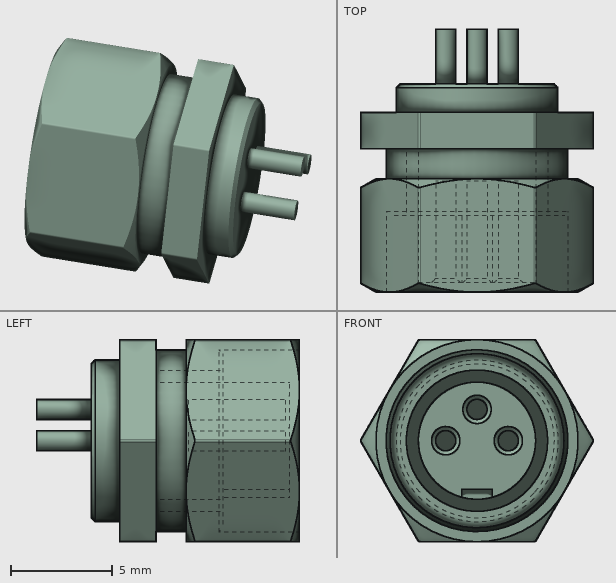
import cadquery as cq
import math


insert_front = 0.5
body_front = 3.8
nut_end = 5.6
flange_front = 7.08
flange_back = 8.89
boss_back = 10.3
pin_tip = 13.0

hex_flats = 10.0
hex_corner_radius = hex_flats / math.sqrt(3)
hex_edge_fillet = 0.13
nut_bevel_angle = 30.0

body_radius = 4.5
recess_radius = 3.5
insert_radius = 2.9
boss_radius = 4.0
rim_chamfer = 0.2

contact_offset = 1.55
contact_radius = 1.0 / 2
countersink_radius = 0.7
socket_depth = 5.0
contact_points = [(0, contact_offset), (-contact_offset, 0), (contact_offset, 0)]

key_width = 1.51
key_floor = 2.4


def section_plane(y):
    """Workplane across the axis, with local axes along X and Z and its normal toward -Y."""
    return cq.Workplane("XZ", origin=(0, y, 0))


def cylinder(radius, start, end):
    """Cylinder on the connector axis, from Y = start to Y = end."""
    return section_plane(start).circle(radius).extrude(start - end)


def hex_block(start, end):
    """Hexagonal prism on the axis with lightly rounded long edges."""
    prism = section_plane(start).polygon(6, 2 * hex_corner_radius).extrude(start - end)
    return prism.edges("|Y").fillet(hex_edge_fillet)


def make_nut():
    """Hexagonal nut, bevelled at both ends and bored down to the front of the body."""
    face_radius = hex_flats / 2
    bevel_length = (hex_corner_radius - face_radius) * math.tan(math.radians(nut_bevel_angle))
    bevel_envelope = (
        cq.Workplane("XY")
        .polyline([
            (0, 0),
            (face_radius, 0),
            (hex_corner_radius, bevel_length),
            (hex_corner_radius, nut_end - bevel_length),
            (face_radius, nut_end),
            (0, nut_end),
        ])
        .close()
        .revolve(360, (0, 0, 0), (0, 1, 0))
    )
    bore = cylinder(body_radius, 0, nut_end)
    return hex_block(0, nut_end).intersect(bevel_envelope).cut(bore)


def make_body():
    """Round body with a hexagonal flange, a rear boss and a recess around the insert."""
    barrel = cylinder(body_radius, body_front, flange_front).faces("<Y").chamfer(rim_chamfer)
    boss = cylinder(boss_radius, flange_back, boss_back).faces(">Y").chamfer(rim_chamfer)
    recess = cylinder(recess_radius, body_front, flange_front)
    return barrel.union(hex_block(flange_front, flange_back)).union(boss).cut(recess)


def make_insert():
    """Contact insert with a keyway and three countersunk blind sockets."""
    insert = cylinder(insert_radius, insert_front, flange_front)

    key_height = insert_radius - key_floor
    keyway = (
        section_plane(insert_front)
        .center(0, -key_floor - key_height / 2)
        .rect(key_width, key_height)
        .extrude(insert_front - body_front)
    )

    countersink_depth = countersink_radius - contact_radius
    sockets = section_plane(insert_front).pushPoints(contact_points).circle(contact_radius)
    countersinks = section_plane(insert_front).pushPoints(contact_points).circle(countersink_radius)
    return (
        insert.cut(keyway)
        .cut(sockets.extrude(-socket_depth))
        .cut(countersinks.extrude(-countersink_depth, taper=45))
    )


def make_pins():
    """Three solder pins behind the boss, in line with the sockets."""
    pins = section_plane(boss_back).pushPoints(contact_points).circle(contact_radius)
    return pins.extrude(boss_back - pin_tip)


result = make_body().union(make_nut()).union(make_insert()).union(make_pins())